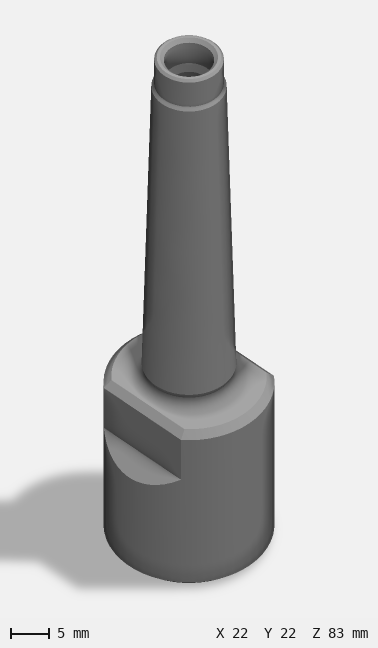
import cadquery as cq

total_length = 83
body_diameter = 22.0
body_height = 27.0
body_chamfer = 1.0

flat_width = 17.0
flat_bottom = 19.0

neck_diameter = 11.6
neck_fillet = 1.5
taper_start = 29.4
neck_chamfer_height = 0.75

taper_large_diameter = 12.2
taper_small_diameter = 9.7
taper_end = 77.9

tip_diameter = 9.0
tip_start = 78.4
tip_chamfer = 0.3

through_diameter = 4.9
counterbore_diameter = 6.5
counterbore_depth = 4.1
countersink = 0.5


def make_turned_body():
    """Revolve the outer half profile around the Z axis."""
    body_radius = body_diameter / 2
    neck_radius = neck_diameter / 2
    tip_radius = tip_diameter / 2
    fillet_top = body_height + neck_fillet
    fillet_inset = neck_fillet * (1 - 0.5 ** 0.5)
    profile = (
        cq.Workplane("XZ")
        .lineTo(body_radius - body_chamfer, 0)
        .lineTo(body_radius, body_chamfer)
        .lineTo(body_radius, body_height - body_chamfer)
        .lineTo(body_radius - body_chamfer, body_height)
        .lineTo(neck_radius + neck_fillet, body_height)
        .threePointArc(
            (neck_radius + fillet_inset, body_height + fillet_inset),
            (neck_radius, fillet_top),
        )
        .lineTo(neck_radius, taper_start - neck_chamfer_height)
        .lineTo(taper_large_diameter / 2, taper_start)
        .lineTo(taper_small_diameter / 2, taper_end)
        .lineTo(tip_radius, tip_start)
        .lineTo(tip_radius, total_length - tip_chamfer)
        .lineTo(tip_radius - tip_chamfer, total_length)
        .lineTo(0, total_length)
        .close()
    )
    return profile.revolve(360, (0, 0, 0), (0, 1, 0))


def make_bore():
    """Through hole with a countersunk counterbore at the tip, ending in a 45 degree seat."""
    through_radius = through_diameter / 2
    counterbore_radius = counterbore_diameter / 2
    seat_bottom = total_length - counterbore_depth - (counterbore_radius - through_radius)
    profile = (
        cq.Workplane("XZ")
        .lineTo(through_radius, 0)
        .lineTo(through_radius, seat_bottom)
        .lineTo(counterbore_radius, total_length - counterbore_depth)
        .lineTo(counterbore_radius, total_length - countersink)
        .lineTo(counterbore_radius + countersink, total_length)
        .lineTo(0, total_length)
        .close()
    )
    return profile.revolve(360, (0, 0, 0), (0, 1, 0))


def make_flat_cutter(side):
    """Cutter for one flat (side is +1 or -1 along Y) with a 45 degree run-out and a chamfered top edge."""
    inner = flat_width / 2
    depth = body_diameter / 2 - inner
    outer = inner + 2 * depth
    profile = (
        cq.Workplane("YZ")
        .moveTo(side * (inner - body_chamfer), body_height)
        .lineTo(side * inner, body_height - body_chamfer)
        .lineTo(side * inner, flat_bottom)
        .lineTo(side * outer, flat_bottom - 2 * depth)
        .lineTo(side * outer, body_height)
        .close()
    )
    return profile.extrude(body_diameter / 2, both=True)


result = make_turned_body().cut(make_bore())
for flat_side in (-1, 1):
    result = result.cut(make_flat_cutter(flat_side))